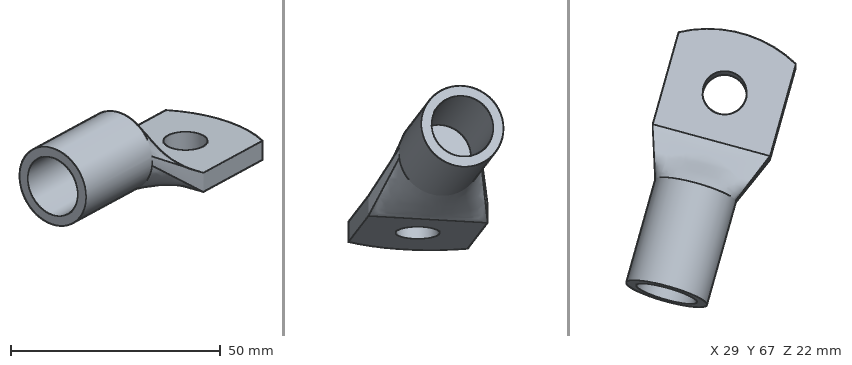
import cadquery as cq
import math

total_length = 67.0
palm_width = 29.0
palm_thickness = 5.0
palm_length = 26.95
end_arc_rise = 3.75
stud_hole_diameter = 10.5
stud_hole_setback = 15.0
tube_diameter = 20.0
bore_diameter = 15.0
tube_length = 25.9
overall_height = 22.0
side_arc_half_height = 1.2

tube_radius = tube_diameter / 2
tube_axis_z = overall_height - tube_radius
palm_start = total_length - palm_length
half_width = palm_width / 2

EDGE_STEPS = 12
NECK_SPANS = 4


def make_tube():
    """Solid round barrel; the bore is cut after joining."""
    return cq.Workplane("XZ", origin=(0, 0, tube_axis_z)).circle(tube_radius).extrude(-tube_length)


def make_palm():
    """Flat palm with a convex end."""
    shoulder = total_length - end_arc_rise
    return (
        cq.Workplane("XY")
        .moveTo(-half_width, palm_start)
        .lineTo(half_width, palm_start)
        .lineTo(half_width, shoulder)
        .threePointArc((0, total_length), (-half_width, shoulder))
        .close()
        .extrude(palm_thickness)
    )


def neck_edge(start_angle, end_angle, palm_from, palm_to, along, sag_share):
    """One edge of a neck section, blended between an arc of the tube rim and a straight palm edge.

    Angles are measured in radians from +X toward +Z; palm_from and palm_to are (X, Z) corners.
    A sag_share of 1 dips the middle of the edge so that it levels out where it meets the palm.
    """
    y = tube_length + (palm_start - tube_length) * along
    points = []
    for step in range(EDGE_STEPS + 1):
        across = step / EDGE_STEPS
        angle = start_angle + (end_angle - start_angle) * across
        rim_x = tube_radius * math.cos(angle)
        rim_z = tube_axis_z + tube_radius * math.sin(angle)
        palm_x = palm_from[0] + (palm_to[0] - palm_from[0]) * across
        palm_z = palm_from[1] + (palm_to[1] - palm_from[1]) * across
        middle_weight = 4 * across * (1 - across)
        sag = sag_share * middle_weight * along**2 * (1 - along)
        x = rim_x + (palm_x - rim_x) * along
        z = rim_z + (palm_z - rim_z) * (along + sag)
        points.append(cq.Vector(x, y, z))
    if along == 0:
        return cq.Edge.makeThreePointArc(points[0], points[EDGE_STEPS // 2], points[-1])
    if along == 1:
        return cq.Edge.makeLine(points[0], points[-1])
    return cq.Edge.makeSpline(points)


def neck_section(along):
    """Closed section of the neck; along runs from 0 at the tube to 1 at the palm."""
    side_angle = math.asin(side_arc_half_height / tube_radius)
    angles = (
        -math.pi + side_angle,
        -side_angle,
        side_angle,
        math.pi - side_angle,
        math.pi + side_angle,
    )
    bottom_left = (-half_width, 0)
    bottom_right = (half_width, 0)
    top_right = (half_width, palm_thickness)
    top_left = (-half_width, palm_thickness)
    corners = (bottom_left, bottom_right, top_right, top_left, bottom_left)
    sag_shares = (0, 0, 1, 0)
    edges = [
        neck_edge(angles[i], angles[i + 1], corners[i], corners[i + 1], along, share)
        for i, share in enumerate(sag_shares)
    ]
    return cq.Wire.assembleEdges(edges)


def make_neck():
    """Transition from the round tube to the flat palm, with a saddle on top."""
    sections = [neck_section(i / NECK_SPANS) for i in range(NECK_SPANS + 1)]
    return cq.Workplane(cq.Solid.makeLoft(sections))


def make_bore():
    """Blind bore through the straight length of the tube."""
    return cq.Workplane("XZ", origin=(0, 0, tube_axis_z)).circle(bore_diameter / 2).extrude(-tube_length)


def make_stud_hole():
    """Through hole in the palm."""
    hole_y = total_length - stud_hole_setback
    return cq.Workplane("XY").center(0, hole_y).circle(stud_hole_diameter / 2).extrude(palm_thickness)


body = make_tube().union(make_neck()).union(make_palm())
result = body.cut(make_bore()).cut(make_stud_hole())